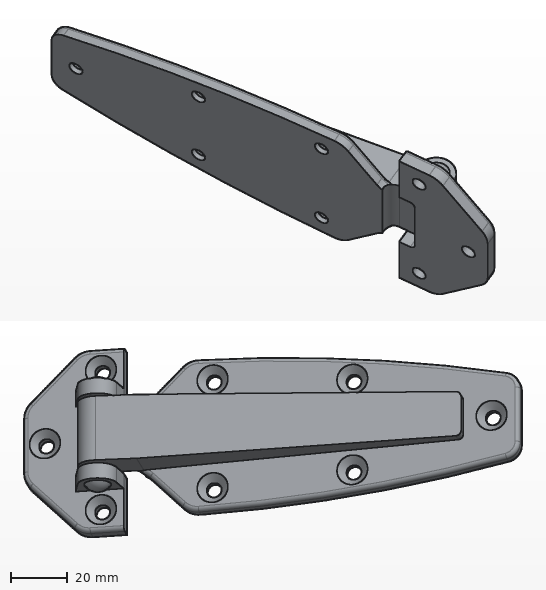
import cadquery as cq
import math


overall_length = 178.0
overall_depth = 19.0

strap_thickness = 5.0
barrel_radius = (overall_depth - strap_thickness) / 2
pin_height = strap_thickness + barrel_radius
pin_radius = 3.0
head_radius = 4.8
head_rise = 2.5

hole_diameter = 5.3
sink_diameter = 11.0
corner_radius = 8.0
edge_round = 1.6

strap_left = -150.0
strap_left_half = 15.0
strap_max_half = 28.3
strap_max_x = -31.3
strap_bulge = 3.2
left_corner_radius = 6.0
neck_half = 12.0
neck_corner_x = strap_max_x + strap_max_half - neck_half
undercut_x = -15.1
undercut_radius = 4.1
strap_holes = [
    (-140.0, 0), (-90.0, 16.9), (-90.0, -16.9), (-39.9, 20.1), (-39.9, -20.1),
]

rib_left = -129.9
rib_left_height = 9.0
rib_left_half = 8.2
rib_corner_radius = 2.0

leaf_thickness = 6.0
leaf_left = -8.2
leaf_right = strap_left + overall_length
leaf_half = 34.0
leaf_right_half = 13.3
leaf_shoulder_x = leaf_right - (leaf_half - leaf_right_half)
notch_half = 13.0
notch_right = -1.8
notch_corner_radius = 2.0
barrel_clearance = 0.4
leaf_holes = [(0, 26.0), (0, -26.0), (20.1, 0)]

ear_thickness = 5.7
ear_right = 9.0
ear_outer = notch_half + ear_thickness


def barrel_tangent(x, y, side):
    """Point where a line from (x, y) touches the barrel circle.

    side is +1 for a line that comes up from the left, -1 for one that comes up from the right.
    """
    distance = math.hypot(x, pin_height - y)
    direction = math.atan2(y - pin_height, x)
    angle = direction - side * math.acos(barrel_radius / distance)
    return barrel_radius * math.cos(angle), pin_height + barrel_radius * math.sin(angle)


def barrel_cylinder(radius, half_length):
    """Cylinder about the pin axis, centred on z = 0."""
    return cq.Workplane("XY").center(0, pin_height).circle(radius).extrude(half_length, both=True)


def drill_screw_holes(plate, places, thickness):
    """Cut holes through the plate at (x, z) places, countersunk from its back face at y = thickness."""
    sink_depth = (sink_diameter - hole_diameter) / 2
    for x, z in places:
        cutter = (
            cq.Workplane("XY", origin=(x, 0, z))
            .polyline([
                (0, 0), (hole_diameter / 2, 0), (hole_diameter / 2, thickness - sink_depth),
                (sink_diameter / 2, thickness), (0, thickness),
            ])
            .close()
            .revolve(360, (0, 0, 0), (0, 1, 0))
        )
        plate = plate.cut(cutter)
    return plate


def strap_plate():
    middle_x = (strap_left + strap_max_x) / 2
    middle_half = (strap_left_half + strap_max_half) / 2 + strap_bulge
    plate = (
        cq.Workplane("XZ")
        .moveTo(strap_left, -strap_left_half)
        .lineTo(strap_left, strap_left_half)
        .threePointArc((middle_x, middle_half), (strap_max_x, strap_max_half))
        .lineTo(neck_corner_x, neck_half)
        .lineTo(leaf_left, neck_half)
        .lineTo(leaf_left, -neck_half)
        .lineTo(neck_corner_x, -neck_half)
        .lineTo(strap_max_x, -strap_max_half)
        .threePointArc((middle_x, -middle_half), (strap_left, -strap_left_half))
        .close()
        .extrude(-strap_thickness)
    )
    plate = plate.edges("|Y and <X").fillet(left_corner_radius)
    for corner_x, corner_half in [(strap_max_x, strap_max_half), (neck_corner_x, neck_half)]:
        for side in (1, -1):
            corner = cq.selectors.NearestToPointSelector((corner_x, strap_thickness / 2, side * corner_half))
            plate = plate.edges("|Y").edges(corner).fillet(corner_radius)
    return plate.faces(">Y").edges("not >X").fillet(edge_round)


def rib():
    """Tapered rib whose sloping top runs tangentially into the barrel."""
    top_x, top_y = barrel_tangent(rib_left, rib_left_height, 1)
    profile = (
        cq.Workplane("XY")
        .moveTo(rib_left, 0)
        .lineTo(rib_left, rib_left_height)
        .lineTo(top_x, top_y)
        .lineTo(0, pin_height)
        .lineTo(0, strap_thickness)
        .lineTo(leaf_left, strap_thickness)
        .lineTo(leaf_left, 0)
        .close()
        .extrude(neck_half, both=True)
    )
    plan = (
        cq.Workplane("XZ")
        .polyline([
            (rib_left, -rib_left_half), (rib_left, rib_left_half),
            (undercut_x, neck_half), (0, neck_half),
            (0, -neck_half), (undercut_x, -neck_half),
        ])
        .close()
        .extrude(-overall_depth)
        .edges("|Y and <X").fillet(rib_corner_radius)
    )
    return profile.intersect(plan)


def neck_undercut():
    """Space below the neck, with a rounded inner corner."""
    return (
        cq.Workplane("XY")
        .moveTo(undercut_x, 0)
        .lineTo(undercut_x, strap_thickness - undercut_radius)
        .radiusArc((undercut_x + undercut_radius, strap_thickness), undercut_radius)
        .lineTo(0, strap_thickness)
        .lineTo(0, 0)
        .close()
        .extrude(strap_max_half, both=True)
    )


def make_strap():
    strap = strap_plate().union(rib()).cut(neck_undercut())
    strap = strap.union(barrel_cylinder(barrel_radius, neck_half))
    strap = strap.cut(barrel_cylinder(pin_radius, neck_half))
    return drill_screw_holes(strap, strap_holes, strap_thickness)


def leaf_plate():
    plate = (
        cq.Workplane("XZ")
        .polyline([
            (leaf_left, -leaf_half), (leaf_left, leaf_half),
            (leaf_shoulder_x, leaf_half), (leaf_right, leaf_right_half),
            (leaf_right, -leaf_right_half), (leaf_shoulder_x, -leaf_half),
        ])
        .close()
        .extrude(-leaf_thickness)
        .edges("|Y and (not <X)").fillet(corner_radius)
        .faces(">Y").edges("not <X").fillet(edge_round)
    )
    notch = (
        cq.Workplane("XZ")
        .moveTo((leaf_left + notch_right) / 2, 0)
        .rect(notch_right - leaf_left, 2 * notch_half)
        .extrude(-leaf_thickness)
        .edges("|Y and >X").fillet(notch_corner_radius)
    )
    return plate.cut(notch)


def ear():
    """Lug with a rounded top and sloping flanks, on the +Z side of the barrel."""
    left_x, left_y = barrel_tangent(leaf_left, leaf_thickness, 1)
    right_x, right_y = barrel_tangent(ear_right, leaf_thickness, -1)
    return (
        cq.Workplane("XY", origin=(0, 0, notch_half))
        .moveTo(leaf_left, 0)
        .lineTo(leaf_left, leaf_thickness)
        .lineTo(left_x, left_y)
        .threePointArc((0, overall_depth), (right_x, right_y))
        .lineTo(ear_right, leaf_thickness)
        .lineTo(ear_right, 0)
        .close()
        .extrude(ear_thickness)
    )


def make_leaf():
    leaf = leaf_plate().cut(barrel_cylinder(barrel_radius + barrel_clearance, notch_half))
    leaf = leaf.union(ear()).union(ear().mirror("XY"))
    leaf = leaf.cut(barrel_cylinder(pin_radius, ear_outer))
    return drill_screw_holes(leaf, leaf_holes, leaf_thickness)


def make_pin():
    """Shank between the outer ear faces, closed at each end by a domed head."""
    tip = ear_outer + head_rise
    dome_radius = (head_radius ** 2 + head_rise ** 2) / (2 * head_rise)
    half_profile = (
        cq.Workplane("XY", origin=(0, pin_height, 0))
        .transformed(rotate=(90, 0, 0))
        .moveTo(0, -tip)
        .radiusArc((head_radius, -ear_outer), -dome_radius)
        .lineTo(pin_radius, -ear_outer)
        .lineTo(pin_radius, ear_outer)
        .lineTo(head_radius, ear_outer)
        .radiusArc((0, tip), -dome_radius)
        .close()
    )
    return half_profile.revolve(360, (0, 0, 0), (0, 1, 0))


strap = make_strap()
leaf = make_leaf()
pin = make_pin()

result = cq.Compound.makeCompound([strap.solids().val(), leaf.solids().val(), pin.val()])